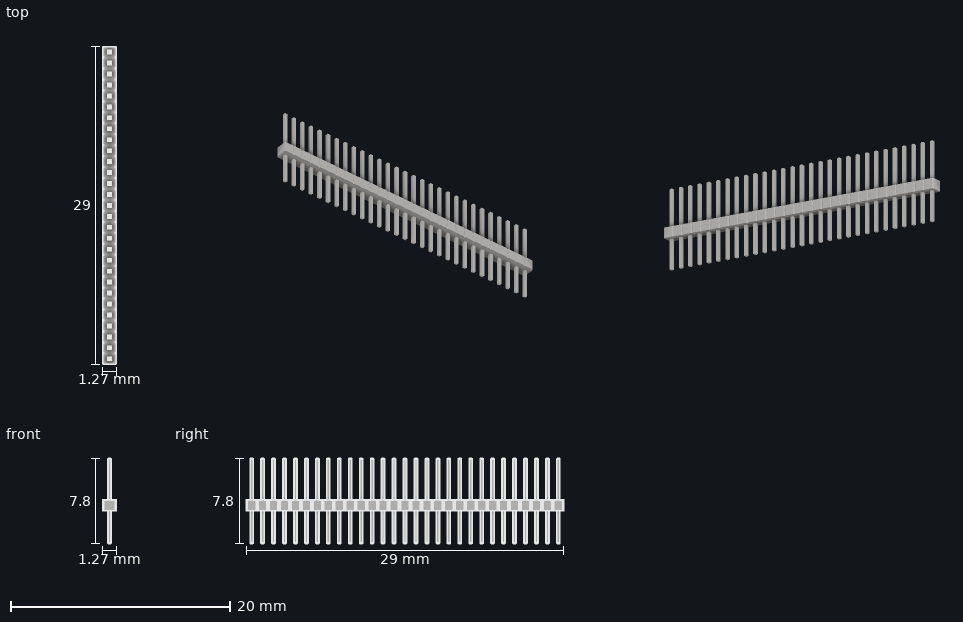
import cadquery as cq

pin_count = 29
pitch = 1.0
body_width = 1.27
body_height = 1.0
corner_chamfer = 0.1
pin_size = 0.3
pin_above_body = 3.8
pin_below_body = 3.0
tip_chamfer = 0.08

pin_length = pin_below_body + body_height + pin_above_body
first_pin_y = -pitch * (pin_count - 1) / 2


def housing_segment(y):
    """One block of the housing, with its vertical corners chamfered."""
    return (
        cq.Workplane("XY")
        .center(0, y)
        .rect(body_width, pitch)
        .extrude(body_height)
        .edges("|Z")
        .chamfer(corner_chamfer)
    )


def pin(y):
    """One square pin through the housing, with both tips chamfered."""
    return (
        cq.Workplane("XY")
        .workplane(offset=-pin_below_body)
        .center(0, y)
        .rect(pin_size, pin_size)
        .extrude(pin_length)
        .faces("<Z or >Z")
        .chamfer(tip_chamfer)
    )


strip = cq.Workplane("XY")
for index in range(pin_count):
    pin_y = first_pin_y + index * pitch
    strip = strip.add(housing_segment(pin_y))
    strip = strip.add(pin(pin_y))

result = strip.combine()